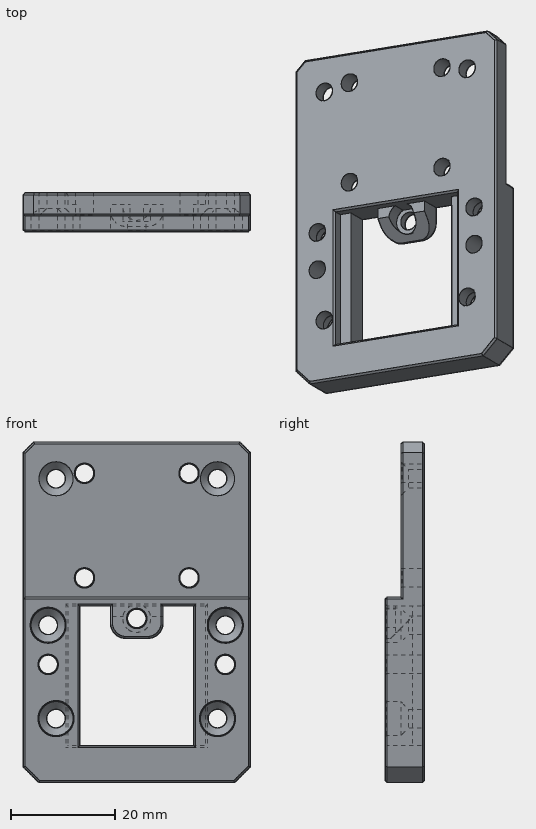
import cadquery as cq

width = 43.5
height = 65.25
thickness = 7.5
upper_thickness = 4.5
step_height = 35.55
bottom_corner = 3.0
top_corner = 2.0
edge_chamfer = 0.4
upper_face = thickness - upper_thickness

window_width = 21.8
window_bottom = 7.1
window_top = 33.8
tab_width = 10.1
tab_bottom = 27.6
tab_radius = 3.0
tab_tip_thickness = 1.05
tab_web = 2.0
tab_bore_diameter = 5.35

recess_start = 5.2
recess_side_step = 2.3

hole_diameter = 3.5
rim_chamfer = 0.2
sink_diameter = 6.5
sink_angle = 90
tab_hole_height = 31.45
side_hole_offset = 16.95
side_hole_height = 22.65
side_sink_height = 30.15
corner_sink_offset = 15.45
lower_corner_height = 12.25
upper_corner_height = 58.2
pattern_pitch = 20.0
pattern_bottom = 39.2
pattern_top = pattern_bottom + pattern_pitch
pattern_offset = pattern_pitch / 2


def mirrored(offset, level):
    """Pair of points on both sides of the middle plane."""
    return [(-offset, level), (offset, level)]


def front_plane(depth):
    """XZ sketch plane at the given depth behind the front face."""
    return cq.Workplane("XZ", origin=(0, depth, 0))


def upright_block(block_width, bottom, top, front, back):
    """Box centred on the middle plane, between two heights and two depths."""
    return (
        front_plane(front)
        .center(0, (bottom + top) / 2)
        .rect(block_width, top - bottom)
        .extrude(front - back)
    )


def edge_at(x, y, z):
    """Selector of the edge whose middle is nearest to the point."""
    return cq.selectors.NearestToPointSelector((x, y, z))


def make_plate():
    """Stepped plate with cut corners and broken outer edges; the root of the step stays sharp."""
    plate = upright_block(width, 0, height, 0, thickness)
    plate = plate.edges("|Y and <Z").chamfer(bottom_corner)
    plate = plate.edges("|Y and >Z").chamfer(top_corner)
    plate = plate.cut(upright_block(width, step_height, height, 0, upper_face))
    outline = cq.selectors.StringSyntaxSelector("not |Y") - edge_at(0, upper_face, step_height)
    step_left = edge_at(-width / 2, upper_face / 2, step_height)
    step_right = edge_at(width / 2, upper_face / 2, step_height)
    return plate.edges(outline + step_left + step_right).chamfer(edge_chamfer)


def break_opening(body, depth):
    """Chamfer the edges around the window opening that lie at one depth."""
    half_width = window_width / 2 + recess_side_step
    around_window = cq.selectors.BoxSelector(
        (-half_width - edge_chamfer, depth - edge_chamfer, window_bottom - edge_chamfer),
        (half_width + edge_chamfer, depth + edge_chamfer, window_top + edge_chamfer),
    )
    return body.edges(around_window).chamfer(edge_chamfer)


def make_tab():
    """Tab with rounded lower corners, a sloping back and a bore for a screw head behind its web."""
    tab_height = window_top - tab_bottom
    tab = (
        cq.Workplane("YZ", origin=(-tab_width / 2, 0, 0))
        .moveTo(0, tab_bottom)
        .lineTo(tab_tip_thickness, tab_bottom)
        .lineTo(tab_tip_thickness + tab_height, window_top)
        .lineTo(0, window_top)
        .close()
        .extrude(tab_width)
    )
    tab = tab.edges("|Y and <Z").fillet(tab_radius)
    bore = front_plane(tab_web).center(0, tab_hole_height)
    bore = bore.circle(tab_bore_diameter / 2).extrude(tab_web - thickness)
    return tab.cut(bore)


def cut_window(body):
    """Cut the window around the tab, then the wider recess across the whole back of it."""
    window = upright_block(window_width, window_bottom, window_top, 0, thickness).cut(make_tab())
    recess_width = window_width + 2 * recess_side_step
    recess = upright_block(recess_width, window_bottom, window_top, recess_start, thickness)
    body = body.cut(window).cut(recess)
    body = break_opening(body, 0)
    return break_opening(body, thickness)


def drill(body, places, face_depth, rim_diameter):
    """Drill through holes with a countersink that opens at the face to the rim diameter."""
    holes = body.copyWorkplane(front_plane(face_depth)).pushPoints(places)
    return holes.cskHole(hole_diameter, rim_diameter, sink_angle)


def drill_plain(body, places, face_depth):
    """Through holes with a lightly broken front rim."""
    return drill(body, places, face_depth, hole_diameter + 2 * rim_chamfer)


def drill_deep_sinks(body, places):
    """Countersunk holes sunk below the front face, level with those of the upper part."""
    wells = body.copyWorkplane(front_plane(0)).pushPoints(places)
    rim_diameter = sink_diameter + 2 * rim_chamfer
    body = wells.cskHole(sink_diameter, rim_diameter, sink_angle, depth=upper_face)
    return drill(body, places, upper_face, sink_diameter)


lower_sinks = mirrored(corner_sink_offset, lower_corner_height)
lower_sinks += mirrored(side_hole_offset, side_sink_height)
lower_plain = mirrored(side_hole_offset, side_hole_height) + [(0, tab_hole_height)]
upper_sinks = mirrored(corner_sink_offset, upper_corner_height)
upper_plain = mirrored(pattern_offset, pattern_bottom) + mirrored(pattern_offset, pattern_top)

plate = cut_window(make_plate())
plate = drill_deep_sinks(plate, lower_sinks)
plate = drill_plain(plate, lower_plain, 0)
plate = drill(plate, upper_sinks, upper_face, sink_diameter)
plate = drill_plain(plate, upper_plain, upper_face)

result = plate